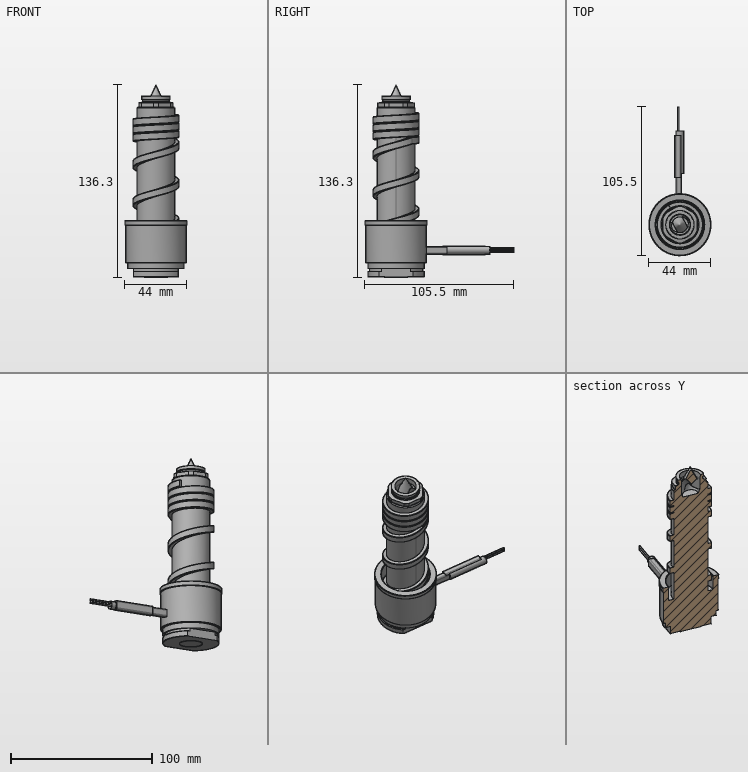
import cadquery as cq
import math

TOTAL_HEIGHT = 136.3
TOTAL_WIDTH = 44.0
TOTAL_DEPTH = 105.5
EDGE_CHAMFER = 0.4

PAD_RADIUS = 8.2
PAD_TOP = 0.4
FOOT_RADIUS = 20.0
FOOT_CHAMFER = 0.3
FOOT_TOP = 4.4
NECK_RADIUS = 19.0
NECK_TOP = 6.4
FLAT_OFFSET = 16.0
CUP_BOTTOM = 10.4
CUP_RADIUS = 21.5
FLANGE_RADIUS = TOTAL_WIDTH / 2
FLANGE_BOTTOM = 37.0
CUP_TOP = 40.5
CUP_BORE_RADIUS = 17.2
CUP_FLOOR = 29.0

BARREL_RADIUS = 13.5
BARREL_TOP = 120.8
BARREL_CHAMFER = 0.8
HEX_HALF_FLATS = 12.1
HEX_CORNER_RADIUS = 13.1
HEX_RIM = 123.6
HEX_TOP = 124.0
RING_RADIUS = 10.1
RING_TOP = 128.4
GROOVE_RADIUS = 9.5
GROOVE_TOP = 126.2
GROOVE_BOTTOM = 124.6

TIP_BORE_RADIUS = 7.1
TIP_BORE_LIP_RADIUS = 7.5
TIP_BORE_FLOOR = 124.5
POINT_BASE_RADIUS = 5.6
FEED_HOLE_RADIUS = 5.0
FEED_HOLE_TILT = 35.0
FEED_HOLE_START = 113.1
FEED_HOLE_AZIMUTH = 28.0

COIL_RADIUS = 16.4
COIL_HEIGHT = 5.0
COIL_EMBED = 0.5
COIL_CHAMFER = 0.4
COARSE_PITCH = 27.0
FINE_PITCH = 5.5
COIL_BEND_TURN = 0.12
COIL_BEND_Z = 96.9
COIL_FIRST_TURN = -2.5
COIL_LAST_TURN = 10 / 3

CABLE_Z = 19.2
CABLE_START = 18.4
CABLE_END = TOTAL_DEPTH - FLANGE_RADIUS
WIRE_X = -1.2
WIRE_MIDDLE_Z = 19.5
WIRE_RADIUS = 0.61
WIRE_SPACING = 2.2
PLUG_RADIUS = 2.9
PLUG_START = 36.3
PLUG_END = 66.5
SLEEVE_CENTER_X = -1.4
SLEEVE_WIDTH = 4.6
SLEEVE_HEIGHT = 6.4
SLEEVE_ROUND = 1.0
SLEEVE_START = 33.4
SLEEVE_END = 63.1
SHEATH_CENTER_X = -0.8
SHEATH_WIDTH = 4.0
SHEATH_HEIGHT = 5.5
SHEATH_ROUND = 0.8


def disc(radius, bottom, top):
    """Cylinder on the Z axis between two heights."""
    return cq.Workplane("XY").workplane(offset=bottom).circle(radius).extrude(top - bottom)


def revolved(outline):
    """Solid of revolution about Z from (radius, height) points."""
    return cq.Workplane("XZ").polyline(outline).close().revolve(360, (0, 0), (0, 1))


def base_foot():
    """Foot, neck and pad with two flats facing -X and +X."""
    foot = disc(FOOT_RADIUS, PAD_TOP, FOOT_TOP).faces("<Z").chamfer(FOOT_CHAMFER)
    foot = foot.union(disc(NECK_RADIUS, FOOT_TOP, NECK_TOP))
    flats = cq.Workplane("XY").box(2 * FLAT_OFFSET, 2 * FOOT_RADIUS, NECK_TOP, centered=(True, True, False))
    return foot.intersect(flats).union(disc(PAD_RADIUS, 0, PAD_TOP))


def heater_cup():
    """Cup with a slightly wider flange around its rim and a chamfered bore."""
    flange = disc(FLANGE_RADIUS, FLANGE_BOTTOM, CUP_TOP).faces("<Z or >Z").chamfer(EDGE_CHAMFER)
    cup = disc(CUP_RADIUS, CUP_BOTTOM, CUP_TOP).faces("<Z").chamfer(EDGE_CHAMFER)
    cup = cup.union(flange).union(disc(FOOT_RADIUS, NECK_TOP, CUP_BOTTOM))
    bore = revolved([
        (0, CUP_FLOOR),
        (CUP_BORE_RADIUS, CUP_FLOOR),
        (CUP_BORE_RADIUS, CUP_TOP - EDGE_CHAMFER),
        (CUP_BORE_RADIUS + EDGE_CHAMFER, CUP_TOP),
        (0, CUP_TOP),
    ])
    return cup.cut(bore)


def hexagon():
    """Hexagon with turned corners, a conical top and two flats facing -X and +X."""
    prism = (
        cq.Workplane("XY").workplane(offset=BARREL_TOP)
        .polygon(6, 2 * HEX_HALF_FLATS, circumscribed=True).extrude(HEX_TOP - BARREL_TOP)
    )
    turned = revolved([
        (0, BARREL_TOP),
        (HEX_CORNER_RADIUS, BARREL_TOP),
        (HEX_CORNER_RADIUS, HEX_RIM),
        (RING_RADIUS, HEX_TOP),
        (0, HEX_TOP),
    ])
    return prism.intersect(turned)


def tip_ring():
    """Ring above the hexagon with a V-sided groove under its rim."""
    slope = RING_RADIUS - GROOVE_RADIUS
    outline = [
        (0, HEX_TOP),
        (RING_RADIUS, HEX_TOP),
        (GROOVE_RADIUS, GROOVE_BOTTOM),
        (GROOVE_RADIUS, GROOVE_TOP - slope),
        (RING_RADIUS, GROOVE_TOP),
        (RING_RADIUS, RING_TOP),
        (0, RING_TOP),
    ]
    return revolved(outline)


def tip_bore():
    """Flat-bottomed bore widening slightly towards its lip."""
    outline = [
        (0, TIP_BORE_FLOOR),
        (TIP_BORE_RADIUS, TIP_BORE_FLOOR),
        (TIP_BORE_LIP_RADIUS, RING_TOP),
        (0, RING_TOP),
    ]
    return revolved(outline)


def torpedo_point():
    """Pointed cone standing on the bore floor."""
    outline = [(0, TIP_BORE_FLOOR), (POINT_BASE_RADIUS, TIP_BORE_FLOOR), (0, TOTAL_HEIGHT)]
    return revolved(outline)


def feed_holes():
    """Two opposite holes rising outward from the axis, kept inside the bore."""
    tilt = math.radians(FEED_HOLE_TILT)
    length = TIP_BORE_RADIUS / math.sin(tilt) + 2 * FEED_HOLE_RADIUS
    holes = cq.Workplane("XY")
    for azimuth in (FEED_HOLE_AZIMUTH, FEED_HOLE_AZIMUTH + 180):
        turn = math.radians(azimuth)
        direction = cq.Vector(
            math.sin(tilt) * math.cos(turn), math.sin(tilt) * math.sin(turn), math.cos(tilt)
        )
        holes = holes.union(cq.Workplane(obj=cq.Solid.makeCylinder(
            FEED_HOLE_RADIUS, length, cq.Vector(0, 0, FEED_HOLE_START), direction
        )))
    return holes.intersect(disc(TIP_BORE_RADIUS, FEED_HOLE_START, RING_TOP))


def coil_section(pitch, first_turn, last_turn):
    """Helical band of constant pitch passing through the coil's bend point."""
    turns = last_turn - first_turn
    start_z = COIL_BEND_Z + pitch * (first_turn - COIL_BEND_TURN)
    inner = BARREL_RADIUS - COIL_EMBED
    half = COIL_HEIGHT / 2
    outline = [
        (inner, -half),
        (COIL_RADIUS - COIL_CHAMFER, -half),
        (COIL_RADIUS, COIL_CHAMFER - half),
        (COIL_RADIUS, half - COIL_CHAMFER),
        (COIL_RADIUS - COIL_CHAMFER, half),
        (inner, half),
    ]
    path = cq.Workplane(obj=cq.Wire.makeHelix(pitch, pitch * turns, BARREL_RADIUS))
    band = cq.Workplane("XZ").polyline(outline).close().sweep(path, isFrenet=True)
    return band.rotate((0, 0, 0), (0, 0, 1), 360 * first_turn).translate((0, 0, start_z))


def cable_rod(x, z, radius, start, end):
    """Round rod running along +Y."""
    return cq.Workplane("XZ", origin=(x, start, z)).circle(radius).extrude(start - end)


def cable_sleeve(center_x, width, height, rounding, start, end):
    """Rounded rectangular bar running along +Y."""
    bar = cq.Workplane("XZ", origin=(center_x, start, CABLE_Z)).rect(width, height).extrude(start - end)
    return bar.edges("|Y").fillet(rounding)


def cable():
    """Sheath leaving the cup, shrink sleeve, round plug and two bare wires."""
    lead = cable_sleeve(
        SHEATH_CENTER_X, SHEATH_WIDTH, SHEATH_HEIGHT, SHEATH_ROUND, CABLE_START, SLEEVE_END
    )
    lead = lead.union(cable_sleeve(
        SLEEVE_CENTER_X, SLEEVE_WIDTH, SLEEVE_HEIGHT, SLEEVE_ROUND, SLEEVE_START, SLEEVE_END
    ))
    lead = lead.union(cable_rod(0, CABLE_Z, PLUG_RADIUS, PLUG_START, PLUG_END))
    for side in (-1, 1):
        wire_z = WIRE_MIDDLE_Z + side * WIRE_SPACING / 2
        lead = lead.union(cable_rod(WIRE_X, wire_z, WIRE_RADIUS, SLEEVE_END, CABLE_END))
    return lead


barrel = disc(BARREL_RADIUS, CUP_FLOOR, BARREL_TOP).faces(">Z").chamfer(BARREL_CHAMFER)
tip = barrel.union(hexagon()).union(tip_ring()).cut(tip_bore()).union(torpedo_point()).cut(feed_holes())

result = (
    base_foot()
    .union(heater_cup())
    .union(tip)
    .union(coil_section(COARSE_PITCH, COIL_FIRST_TURN, COIL_BEND_TURN))
    .union(coil_section(FINE_PITCH, COIL_BEND_TURN, COIL_LAST_TURN))
    .union(cable())
)